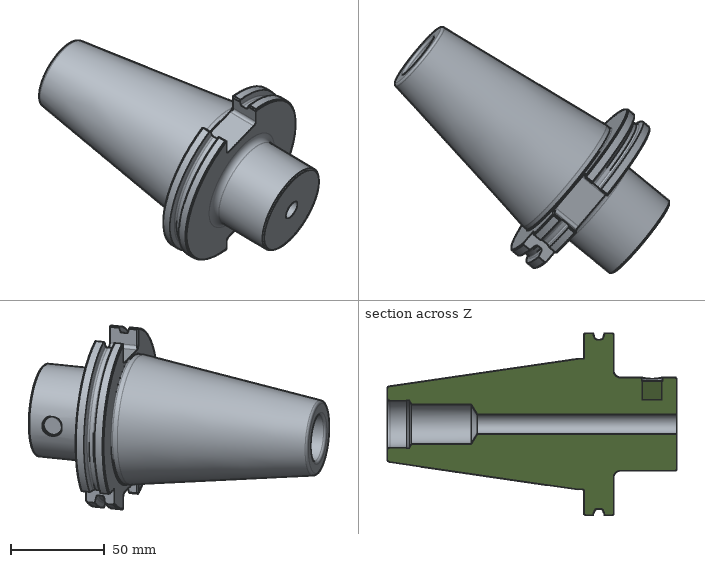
import cadquery as cq
import math

total_length = 154.6

gauge_dia = 69.9
taper_length = 101.7
taper_ratio = 7 / 24
nose_dia = gauge_dia - taper_length * taper_ratio
nose_round = 1.5

flange_dia = 97.4
land_length = 3.2
flange_start = taper_length + land_length
flange_width = 16.0
flange_end = flange_start + flange_width
flange_chamfer = 0.6
neck_round = 0.6
groove_center = flange_start + flange_width / 2
groove_top_width = 6.0
groove_floor_width = 3.9
groove_depth = 3.4
groove_round = 1.1

spigot_dia = 50.0
spigot_round = 3.7
spigot_chamfer = 0.8

pilot_dia = 25.0
pilot_length = 10.5
mouth_round = 1.4
relief_dia = 25.5
relief_width = 1.2
thread_dia = 21.0
thread_end = 44.8
through_dia = 10.2
drill_tip_angle = 118
drill_slope = 1 / math.tan(math.radians(drill_tip_angle / 2))
lead_in_length = (pilot_dia - thread_dia) / 2 * drill_slope
drill_cone_length = (thread_dia - through_dia) / 2 * drill_slope

slot_width = 25.7
slot_corner_round = 1.9
slot_chamfer = 0.8
upper_slot_floor = 35.4
lower_slot_floor = 37.5

notch_y = 29.5
notch_z = -29.8

screw_dia = 10.0
screw_mouth_dia = 11.0
screw_x = total_length - 13.3
screw_head_y = 23.2
screw_length = 10.0


def revolve_about_x(profile):
    return profile.close().revolve(360, (0, 0, 0), (1, 0, 0))


def make_turned_body():
    """Taper, flange and spigot, without grooves or bores."""
    gauge_radius = gauge_dia / 2
    flange_radius = flange_dia / 2
    spigot_radius = spigot_dia / 2
    body = revolve_about_x(
        cq.Workplane("XY")
        .lineTo(0, nose_dia / 2)
        .lineTo(taper_length, gauge_radius)
        .lineTo(flange_start, gauge_radius)
        .lineTo(flange_start, flange_radius)
        .lineTo(flange_end, flange_radius)
        .lineTo(flange_end, spigot_radius)
        .lineTo(total_length, spigot_radius)
        .lineTo(total_length, 0)
    )

    def circles_at(x, radius):
        margin = 0.02
        reach = radius + margin
        return cq.selectors.BoxSelector(
            (x - margin, -reach, -reach), (x + margin, reach, reach), boundingbox=True
        )

    body = body.edges(circles_at(0, nose_dia / 2)).fillet(nose_round)
    body = body.edges(circles_at(flange_start, gauge_radius)).fillet(neck_round)
    body = body.edges(circles_at(flange_end, spigot_radius)).fillet(spigot_round)
    body = body.edges(circles_at(total_length, spigot_radius)).chamfer(spigot_chamfer)
    rims = body.edges(cq.selectors.RadiusNthSelector(-1))
    return rims.chamfer(flange_chamfer)


def make_groove():
    """Ring that cuts the V groove, its floor corners rounded."""
    rim = flange_dia / 2
    floor = rim - groove_depth
    top_half = groove_top_width / 2
    floor_half = groove_floor_width / 2
    ring = revolve_about_x(
        cq.Workplane("XY")
        .moveTo(groove_center - top_half, rim)
        .lineTo(groove_center - floor_half, floor)
        .lineTo(groove_center + floor_half, floor)
        .lineTo(groove_center + top_half, rim)
    )
    return ring.edges(cq.selectors.RadiusNthSelector(0)).fillet(groove_round)


def make_bore():
    """Pull stud bore with rounded mouth, relief, thread core and drilled through hole."""
    pilot_radius = pilot_dia / 2
    relief_radius = relief_dia / 2
    thread_radius = thread_dia / 2
    through_radius = through_dia / 2
    relief_end = pilot_length + relief_width
    bow = mouth_round * (1 - math.sqrt(0.5))
    return revolve_about_x(
        cq.Workplane("XY")
        .lineTo(0, pilot_radius + mouth_round)
        .threePointArc((bow, pilot_radius + bow), (mouth_round, pilot_radius))
        .lineTo(pilot_length, pilot_radius)
        .lineTo(pilot_length, relief_radius)
        .lineTo(relief_end, relief_radius)
        .lineTo(relief_end, pilot_radius)
        .lineTo(relief_end + lead_in_length, thread_radius)
        .lineTo(thread_end, thread_radius)
        .lineTo(thread_end + drill_cone_length, through_radius)
        .lineTo(total_length, through_radius)
        .lineTo(total_length, 0)
    )


def make_slot(floor_z):
    """Cutter for a drive slot open towards +Z, its wall edges bevelled at the taper side and the rim."""
    top_z = flange_dia / 2
    narrow = slot_width / 2
    wide = narrow + slot_chamfer

    def section(x, half_width, corner_round):
        bow = corner_round * (1 - math.sqrt(0.5))
        corner_z = floor_z + corner_round
        return (
            cq.Workplane("YZ", origin=(x, 0, 0))
            .moveTo(-half_width, top_z)
            .lineTo(-half_width, corner_z)
            .threePointArc((-half_width + bow, floor_z + bow), (-half_width + corner_round, floor_z))
            .lineTo(half_width - corner_round, floor_z)
            .threePointArc((half_width - bow, floor_z + bow), (half_width, corner_z))
            .lineTo(half_width, top_z)
            .close()
        )

    channel = section(flange_start, narrow, slot_corner_round).extrude(flange_width)
    bevel_start = section(flange_start, wide, slot_corner_round + slot_chamfer).wires().val()
    bevel_end = section(flange_start + slot_chamfer, narrow, slot_corner_round).wires().val()
    face_bevel = cq.Workplane(cq.Solid.makeLoft([bevel_start, bevel_end], True))

    rim_z = math.sqrt((flange_dia / 2) ** 2 - wide**2)
    rim_bevel = (
        cq.Workplane("YZ", origin=(flange_start, 0, 0))
        .moveTo(-narrow, rim_z - slot_chamfer)
        .lineTo(narrow, rim_z - slot_chamfer)
        .lineTo(wide, rim_z)
        .lineTo(wide, top_z)
        .lineTo(-wide, top_z)
        .lineTo(-wide, rim_z)
        .close()
        .extrude(flange_width)
    )
    return channel.union(face_bevel).union(rim_bevel)


def make_notch():
    """Cutter for the square notch at the +Y, -Z part of the rim."""
    reach = flange_dia / 2
    return (
        cq.Workplane("YZ", origin=(flange_start, 0, 0))
        .moveTo(notch_y, notch_z)
        .lineTo(reach, notch_z)
        .lineTo(reach, -reach)
        .lineTo(notch_y, -reach)
        .close()
        .extrude(flange_width)
    )


def make_screw():
    """Plain grub screw, its head below the spigot surface."""
    head = cq.Workplane("XZ", origin=(screw_x, screw_head_y, 0))
    return head.circle(screw_dia / 2).extrude(screw_length)


def make_screw_hole():
    """Blind hole that the screw fills up to its head, with a widened mouth above it."""
    mouth = cq.Workplane("XZ", origin=(screw_x, spigot_dia / 2, 0))
    mouth = mouth.circle(screw_mouth_dia / 2).extrude(spigot_dia / 2 - screw_head_y)
    return make_screw().union(mouth)


def make_holder():
    holder = make_turned_body()
    holder = holder.cut(make_groove())
    holder = holder.cut(make_bore())
    holder = holder.cut(make_slot(upper_slot_floor))
    holder = holder.cut(make_slot(lower_slot_floor).rotate((0, 0, 0), (1, 0, 0), 180))
    holder = holder.cut(make_notch())
    return holder.cut(make_screw_hole())


holder = make_holder()
screw = make_screw()
result = cq.Compound.makeCompound([holder.solids().val(), screw.val()])